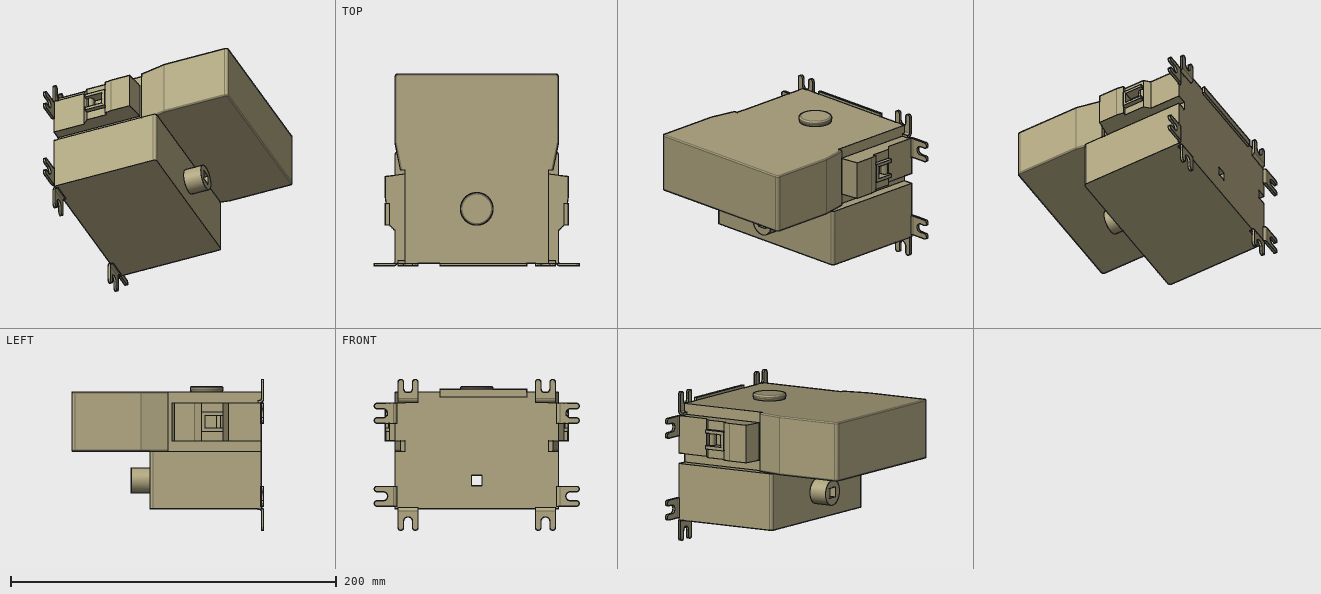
import cadquery as cq
import math

body_half_width = 50.3
body_height = 71.8
ledge_height = 35.3
lower_depth = 68.4
corner_radius = 1.9

neck_half_width = 44.0
neck_depth = 57.3
head_back_half_width = 46.9
head_taper_end = 74.0
head_front = 116.4
head_edge_radius = 0.8

module_bottom = 41.7
module_top = 65.1
module_half_width = 56.3
module_waist_half_width = 55.7
module_waist_front = 41.1
module_outer_front = 53.4
module_inner_front = 55.0
module_height = module_top - module_bottom

seat_half_width = 53.7
clip_back = 23.6
clip_front = 36.7
clip_height = 11.8
pocket_height = 7.8
clip_bar = 2.0
hook_ramp_length = 1.5
hook_ramp_rise = 0.6
hook_radius = 2.5
clip_mid = (module_top + module_bottom) / 2

button_y = 33.5
button_stem_radius = 9.8
button_stem_height = 0.5
button_flare_top = 1.4
button_head_radius = 10.1
button_height = 3.3
button_edge_radius = 1.0

shaft_z = 17.4
shaft_radius = 7.8
shaft_end = 79.9
square_hole = 6.2

sheet = 1.5
strip_width = 53.4
strip_centre_x = 4.0
strip_bottom = 68.5
strip_top = 73.5

ear_length = 14.4
ear_width = 12.3
ear_slot_width = 5.4
ear_slot_depth = 8.2
ear_leg_end = 1.9
ear_bend_radius = 2.5
ear_reach_x = 63.0
ear_reach_top = 79.5
ear_reach_bottom = -13.2
ear_offset_x = 42.2
ear_heights = (7.7, 58.7)


def block(x_range, y_range, z_range):
    """Axis-aligned box given by its limits."""
    (x0, x1), (y0, y1), (z0, z1) = x_range, y_range, z_range
    return cq.Workplane("XY").box(x1 - x0, y1 - y0, z1 - z0, centered=False).translate((x0, y0, z0))


def make_lower_housing():
    housing = block((-body_half_width, body_half_width), (0, lower_depth), (0, ledge_height))
    return housing.edges("|Z and >Y").fillet(corner_radius)


def make_upper_housing():
    upper_height = body_height - ledge_height
    head = (
        cq.Workplane("XY", origin=(0, 0, ledge_height))
        .moveTo(-head_back_half_width, neck_depth)
        .lineTo(-body_half_width, head_taper_end)
        .lineTo(-body_half_width, head_front)
        .lineTo(body_half_width, head_front)
        .lineTo(body_half_width, head_taper_end)
        .lineTo(head_back_half_width, neck_depth)
        .close()
        .extrude(upper_height)
    )
    head = head.edges("|Z and >Y").fillet(corner_radius)
    head = head.faces("<Z or >Z").edges("not <Y").fillet(head_edge_radius)
    neck = block((-neck_half_width, neck_half_width), (0, neck_depth), (ledge_height, body_height))
    return head.union(neck)


def make_side_module():
    """Module on the +X side with its open-framed clip."""
    module = (
        cq.Workplane("XY", origin=(0, 0, module_bottom))
        .polyline([
            (neck_half_width, 0),
            (body_half_width, 0),
            (body_half_width, clip_back - (seat_half_width - body_half_width)),
            (seat_half_width, clip_back),
            (seat_half_width, clip_front),
            (module_waist_half_width, clip_front),
            (module_half_width, module_waist_front),
            (module_half_width, module_outer_front),
            (neck_half_width, module_inner_front),
        ])
        .close()
        .extrude(module_height)
    )
    clip = block(
        (seat_half_width, module_half_width),
        (clip_back, clip_front),
        (clip_mid - clip_height / 2, clip_mid + clip_height / 2),
    )
    hook_tip_x = seat_half_width + hook_ramp_rise
    hook_tip_y = clip_back + hook_ramp_length
    pocket_front = clip_front - clip_bar
    hook_inset = hook_radius * (1 - math.sqrt(0.5))
    pocket = (
        cq.Workplane("XY", origin=(0, 0, clip_mid - pocket_height / 2))
        .moveTo(seat_half_width, clip_back)
        .lineTo(hook_tip_x, hook_tip_y)
        .threePointArc(
            (hook_tip_x - hook_inset, hook_tip_y + hook_radius - hook_inset),
            (hook_tip_x - hook_radius, hook_tip_y + hook_radius),
        )
        .lineTo(body_half_width, hook_tip_y + hook_radius)
        .lineTo(body_half_width, pocket_front)
        .lineTo(module_half_width, pocket_front)
        .lineTo(module_half_width, clip_back)
        .close()
        .extrude(pocket_height)
    )
    return module.union(clip).cut(pocket)


def make_button():
    """Button whose head flares out slightly over its stem."""
    profile = (
        cq.Workplane("XZ")
        .moveTo(0, 0)
        .lineTo(button_stem_radius, 0)
        .lineTo(button_stem_radius, button_stem_height)
        .lineTo(button_head_radius, button_flare_top)
        .lineTo(button_head_radius, button_height)
        .lineTo(0, button_height)
        .close()
    )
    button = profile.revolve(360, (0, 0, 0), (0, 1, 0))
    button = button.faces(">Z").edges().fillet(button_edge_radius)
    return button.translate((0, button_y, body_height))


def make_shaft():
    return (
        cq.Workplane("XZ", origin=(0, lower_depth, shaft_z))
        .circle(shaft_radius)
        .extrude(lower_depth - shaft_end)
    )


def make_ear():
    """Ear pointing up (+Z) with the prong tips at Z = 0 and its plate behind Y = 0."""
    inner_radius = ear_bend_radius - sheet
    bend_y = ear_bend_radius - sheet
    bend_z = ear_bend_radius - ear_length
    diagonal = math.sqrt(0.5)
    profile = (
        cq.Workplane("YZ", origin=(-ear_width / 2, 0, 0))
        .moveTo(-sheet, 0)
        .lineTo(-sheet, bend_z)
        .threePointArc(
            (bend_y - ear_bend_radius * diagonal, bend_z - ear_bend_radius * diagonal),
            (bend_y, -ear_length),
        )
        .lineTo(ear_leg_end, -ear_length)
        .lineTo(ear_leg_end, sheet - ear_length)
        .lineTo(bend_y, sheet - ear_length)
        .threePointArc(
            (bend_y - inner_radius * diagonal, bend_z - inner_radius * diagonal),
            (0, bend_z),
        )
        .lineTo(0, 0)
        .close()
        .extrude(ear_width)
    )
    slot_radius = ear_slot_width / 2
    slot_centre_z = slot_radius - ear_slot_depth
    slot = (
        cq.Workplane("XZ")
        .moveTo(-slot_radius, 0)
        .lineTo(-slot_radius, slot_centre_z)
        .threePointArc((0, -ear_slot_depth), (slot_radius, slot_centre_z))
        .lineTo(slot_radius, 0)
        .close()
        .extrude(sheet)
    )
    prong_width = (ear_width - ear_slot_width) / 2
    tip_radius = 0.49 * prong_width
    return profile.cut(slot).faces(">Z").edges("|Y").fillet(tip_radius)


def place_ear(ear, angle, x, z):
    """Turn the ear about Y by the angle and move its tip to (x, z)."""
    return ear.rotate((0, 0, 0), (0, 1, 0), angle).translate((x, 0, z))


result = make_lower_housing().union(make_upper_housing()).union(make_button()).union(make_shaft())

side_module = make_side_module()
result = result.union(side_module).union(side_module.mirror("YZ"))

strip = block((-strip_width / 2, strip_width / 2), (-sheet, 0), (strip_bottom, strip_top))
result = result.union(strip.translate((strip_centre_x, 0, 0)))

mounting_ear = make_ear()
for side in (-1, 1):
    result = result.union(place_ear(mounting_ear, 0, side * ear_offset_x, ear_reach_top))
    result = result.union(place_ear(mounting_ear, 180, side * ear_offset_x, ear_reach_bottom))
    for height in ear_heights:
        result = result.union(place_ear(mounting_ear, side * 90, side * ear_reach_x, height))

through_hole = block(
    (-square_hole / 2, square_hole / 2),
    (0, shaft_end),
    (shaft_z - square_hole / 2, shaft_z + square_hole / 2),
)
result = result.cut(through_hole)